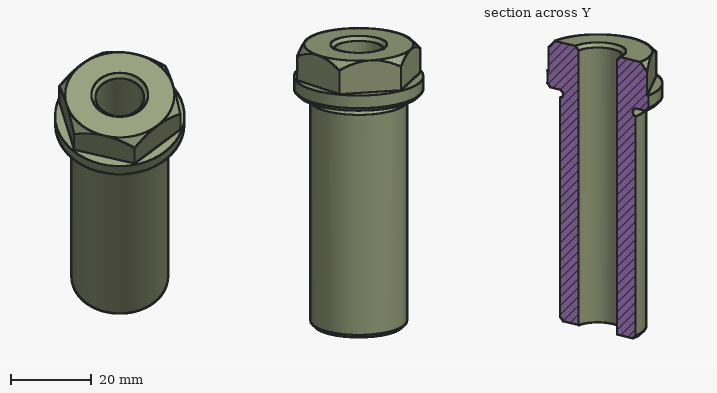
import cadquery as cq
import math

total_height = 72.5
hex_height = 8.25
flange_thickness = 4.25

hex_sides = 6
across_flats = 27.0
across_corners = across_flats / math.cos(math.pi / hex_sides)

flange_radius = 16.0
flange_chamfer = 1.0

shank_radius = 12.0
tip_chamfer = 1.0
undercut_depth = 0.92
undercut_height = 2.0

bore_diameter = 12.0
bore_chamfer = 1.0

flange_top = total_height - hex_height
flange_bottom = flange_top - flange_thickness


def make_shank_and_flange():
    """Revolve the half section of the shank, undercut and flange about Z."""
    undercut_floor_radius = shank_radius - undercut_depth
    undercut_middle_z = flange_bottom - undercut_height / 2
    undercut_bottom_z = flange_bottom - undercut_height
    section = (
        cq.Workplane("XZ")
        .moveTo(0, 0)
        .lineTo(shank_radius - tip_chamfer, 0)
        .lineTo(shank_radius, tip_chamfer)
        .lineTo(shank_radius, undercut_bottom_z)
        .threePointArc((undercut_floor_radius, undercut_middle_z), (shank_radius, flange_bottom))
        .lineTo(flange_radius - flange_chamfer, flange_bottom)
        .lineTo(flange_radius, flange_bottom + flange_chamfer)
        .lineTo(flange_radius, flange_top)
        .lineTo(0, flange_top)
        .close()
    )
    return section.revolve(360, (0, 0), (0, 1))


def make_hex_head():
    """Hexagon with corners on X, its top corners turned off at 45 degrees."""
    prism = (
        cq.Workplane("XY")
        .workplane(offset=flange_top)
        .polygon(hex_sides, across_corners)
        .extrude(hex_height)
    )
    corner_radius = across_corners / 2
    top_face_radius = across_flats / 2
    corner_drop = corner_radius - top_face_radius
    envelope = (
        cq.Workplane("XZ")
        .moveTo(0, flange_top)
        .lineTo(corner_radius, flange_top)
        .lineTo(corner_radius, total_height - corner_drop)
        .lineTo(top_face_radius, total_height)
        .lineTo(0, total_height)
        .close()
        .revolve(360, (0, 0), (0, 1))
    )
    return prism.intersect(envelope)


def make_bore():
    """Through bore with a 45 degree chamfer at the head end."""
    bore_radius = bore_diameter / 2
    return (
        cq.Workplane("XZ")
        .lineTo(bore_radius, 0)
        .lineTo(bore_radius, total_height - bore_chamfer)
        .lineTo(bore_radius + bore_chamfer, total_height)
        .lineTo(0, total_height)
        .close()
        .revolve(360, (0, 0), (0, 1))
    )


result = make_shank_and_flange().union(make_hex_head()).cut(make_bore())